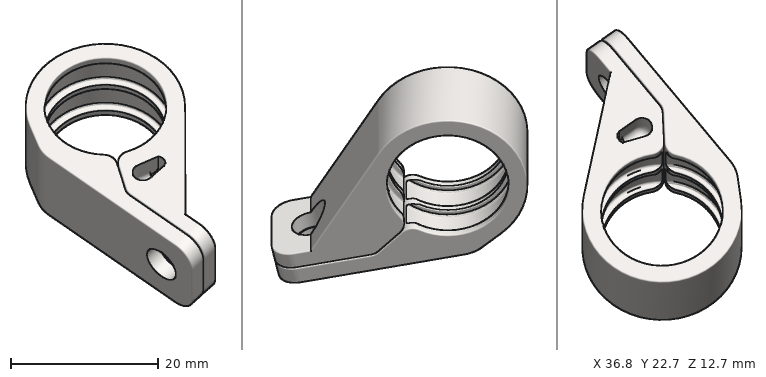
import cadquery as cq
import math

length = 36.75
height = 12.7
ring_radius = 10.85
bore_radius = 8.27
edge_round = 0.2

ears_thickness = 5.0
ears_bottom = -11.8
ears_end = length - ring_radius
ears_top = ears_bottom + ears_thickness
ear_corner_radius = 3.0
shoulder_x = 20.45
heel_angle = 30.0
heel_radius = 5.0
screw_diameter = 5.22
screw_inset = 5.48

slit_gap = 0.1
slit_angle = 35.0
slit_kink_x = 11.95
slit_kink_y = -9.25
slit_kink_radius = 2.0
slit_mouth_radius = 2.0

lip_height = 1.3
groove_pitch = 5.65
groove_depth = 0.95
groove_corner_radius = 0.35

pocket_radius = 1.4
pocket_foot = (11.35, -5.25)
pocket_lean = 20.0
pocket_tip_y = -2.98
pocket_bend_y = -2.45
pocket_ball_radius = 1.32
pocket_depth = 3.68
pocket_floor_radius = 0.95


def on_circle(radius, angle, center=(0.0, 0.0)):
    """Point of a circle at an angle in degrees."""
    turn = math.radians(angle)
    return (center[0] + radius * math.cos(turn), center[1] + radius * math.sin(turn))


def make_blank():
    """Ring with a tapered arm, before the slit is cut."""
    shoulder_distance = math.hypot(shoulder_x, ears_top)
    shoulder_direction = math.degrees(math.atan2(ears_top, shoulder_x))
    upper_tangent = shoulder_direction + math.degrees(math.acos(ring_radius / shoulder_distance))
    lower_tangent = 270 - heel_angle
    heel_start = on_circle(ring_radius, lower_tangent)
    heel_run = (heel_start[1] - ears_bottom) / math.tan(math.radians(heel_angle))
    heel = (heel_start[0] + heel_run, ears_bottom)
    blank = (
        cq.Workplane("XY", origin=(0, 0, -height / 2))
        .moveTo(*heel)
        .lineTo(ears_end, ears_bottom)
        .lineTo(ears_end, ears_top)
        .lineTo(shoulder_x, ears_top)
        .lineTo(*on_circle(ring_radius, upper_tangent))
        .threePointArc(
            on_circle(ring_radius, (upper_tangent + lower_tangent) / 2),
            heel_start,
        )
        .close()
        .extrude(height)
    )
    blank = blank.edges(cq.NearestToPointSelector((*heel, 0))).fillet(heel_radius)
    blank = blank.edges(">X and |Y").fillet(ear_corner_radius)
    bore = cq.Workplane("XY").circle(bore_radius).extrude(height, both=True)
    return blank.cut(bore)


def make_slit():
    """Thin bent slab running from the bore out through the end of the ears."""
    turn = math.radians(slit_angle)
    half_gap = slit_gap / 2
    miter = half_gap * math.tan(turn / 2)

    def side(sign):
        kink = (slit_kink_x + sign * miter, slit_kink_y + sign * half_gap)
        inner = (kink[0] - slit_kink_x * math.cos(turn), kink[1] + slit_kink_x * math.sin(turn))
        return [(length, kink[1]), kink, inner]

    slit = (
        cq.Workplane("XY", origin=(0, 0, -height))
        .polyline(side(1) + side(-1)[::-1])
        .close()
        .extrude(2 * height)
    )
    for sign in (1, -1):
        kink = side(sign)[1]
        radius = slit_kink_radius - sign * half_gap
        slit = slit.edges(cq.NearestToPointSelector((*kink, 0))).fillet(radius)
    return slit


def round_mouth(body):
    """Round the two corners where the slit opens into the bore."""
    turn = math.radians(slit_angle)
    distance = slit_kink_x * math.sin(turn) + slit_kink_y * math.cos(turn)
    mouth_angle = math.degrees(math.asin(distance / bore_radius)) - slit_angle
    x, y = on_circle(bore_radius, mouth_angle)
    size = slit_mouth_radius / 2
    mouth_box = cq.selectors.BoxSelector(
        (x - size, y - size, -size),
        (x + size, y + size, size),
    )
    return body.edges("|Z").edges(mouth_box).fillet(slit_mouth_radius)


def make_groove(center_z):
    """Ring-shaped cutter that leaves rounded lips and has rounded inner corners."""
    half_width = (groove_pitch - lip_height) / 2
    wall_radius = bore_radius + groove_depth
    mouth_z = half_width + edge_round
    lip_arc_middle = on_circle(edge_round, 225, (bore_radius + edge_round, mouth_z))
    lip_arc_end = (bore_radius + edge_round, half_width)
    corner_center = (wall_radius - groove_corner_radius, half_width - groove_corner_radius)
    upper_half = (
        cq.Workplane("XZ")
        .moveTo(bore_radius / 2, 0)
        .lineTo(bore_radius / 2, mouth_z)
        .lineTo(bore_radius, mouth_z)
        .threePointArc(lip_arc_middle, lip_arc_end)
        .lineTo(corner_center[0], half_width)
        .threePointArc(
            on_circle(groove_corner_radius, 45, corner_center),
            (wall_radius, corner_center[1]),
        )
        .lineTo(wall_radius, 0)
        .close()
        .revolve(360, (0, 0, 0), (0, 1, 0))
    )
    groove = upper_half.union(upper_half.mirror("XY")).clean()
    return groove.translate((0, 0, center_z))


def make_pocket():
    """Pocket with one straight and one leaning wall, a rounded floor and a ball-shaped tip."""
    right_x = pocket_foot[0] + pocket_radius
    left_start = on_circle(pocket_radius, 180 - pocket_lean, pocket_foot)

    def left_wall(y):
        return (left_start[0] + (y - left_start[1]) * math.tan(math.radians(pocket_lean)), y)

    tip_left = left_wall(pocket_tip_y)
    tip_right = (right_x, pocket_tip_y)
    top = cq.Workplane("XY", origin=(0, 0, height / 2))
    foot = (
        top.moveTo(right_x, pocket_foot[1])
        .lineTo(*tip_right)
        .lineTo(*tip_left)
        .lineTo(*left_start)
        .threePointArc(
            on_circle(pocket_radius, 270 - pocket_lean / 2, pocket_foot),
            (right_x, pocket_foot[1]),
        )
        .close()
        .extrude(-pocket_depth)
    )
    foot = foot.faces("<Z").edges("not >Y").fillet(pocket_floor_radius)

    end_y = pocket_tip_y + pocket_radius
    tip_bend = (right_x, pocket_bend_y)
    end_right = (right_x - (end_y - pocket_bend_y) * math.tan(math.radians(pocket_lean)), end_y)
    tip = top.polyline([tip_right, tip_bend, end_right, left_wall(end_y), tip_left]).close()
    tip = tip.extrude(-pocket_depth)
    tip_x = (tip_left[0] + right_x) / 2
    shaft_depth = pocket_depth - pocket_ball_radius
    ball_center = (tip_x, pocket_tip_y, height / 2 - shaft_depth)
    ball = cq.Workplane("XY").sphere(pocket_ball_radius).translate(ball_center)
    shaft = top.center(tip_x, pocket_tip_y).circle(pocket_ball_radius).extrude(-shaft_depth)
    return foot.union(tip.intersect(shaft.union(ball)))


body = round_mouth(make_blank().cut(make_slit()))
body = body.faces("<Z or >Z").edges().fillet(edge_round)

for level in (1, -1):
    body = body.cut(make_groove(level * groove_pitch / 2))

body = body.cut(make_pocket())

screw_hole = (
    cq.Workplane("XZ")
    .center(ears_end - screw_inset, 0)
    .circle(screw_diameter / 2)
    .extrude(length, both=True)
)
result = body.cut(screw_hole)